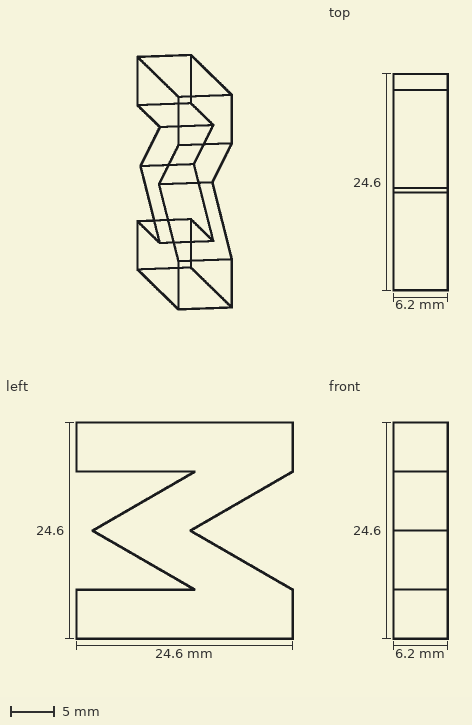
import cadquery as cq
import math

thickness = 6.2
side = 24.64
bar_height = 5.6
wedge_slope = 30.0
wedge_root_y = -1.15

half_side = side / 2
bar_inner_z = half_side - bar_height
slant_run = bar_inner_z / math.tan(math.radians(wedge_slope))
notch_y = -half_side + slant_run
wedge_tip_y = wedge_root_y + slant_run


def m_outline():
    """Closed M-shaped outline: two bars along Y joined by a wedge pointing to +Y."""
    return [
        (-half_side, -half_side),
        (half_side, -half_side),
        (half_side, -bar_inner_z),
        (wedge_root_y, -bar_inner_z),
        (wedge_tip_y, 0),
        (wedge_root_y, bar_inner_z),
        (half_side, bar_inner_z),
        (half_side, half_side),
        (-half_side, half_side),
        (-half_side, bar_inner_z),
        (notch_y, 0),
        (-half_side, -bar_inner_z),
    ]


result = cq.Workplane("YZ").polyline(m_outline()).close().extrude(thickness / 2, both=True)